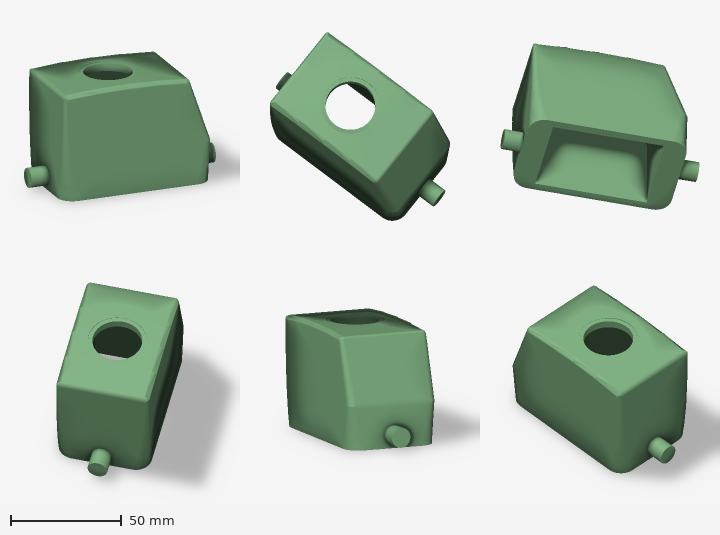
import cadquery as cq

width = 43.0
half_width = width / 2
height = 52.0
front_y = -36.45
front_top_y = -35.9
back_y = 36.5
shoulder_y = 36.2
shoulder_z = 20.2
ridge_y = 25.4
top_end_z = 50.6
side_wall = 3.6
roof_wall = 4.0
cavity_half_length = 25.9
crown_y = (front_top_y + ridge_y) / 2

top_round = 2.1
ridge_round = 1.5
shoulder_round = 8.1
front_corner_radii = [(0, 7.4), (9.5, 4.8), (22.1, 2.8), (31.4, 2.0), (height, 1.6)]
rim_radius = front_corner_radii[0][1]
shoulder_radius = 3.2
ridge_radius = 1.9
cutter_margin = 1.8

entry_y = -5.85
entry_diameter = 22.5
seat_diameter = 26.5
seat_depth = 0.4

pin_diameter = 9.1
pin_z = 6.1
pin_end_y = 45.0
pin_embed = 1.8


def hood_profile():
    """Closed side outline of the hood in the YZ plane."""
    return (
        cq.Workplane("YZ")
        .moveTo(front_y, 0)
        .lineTo(front_top_y, top_end_z)
        .threePointArc((crown_y, height), (ridge_y, top_end_z))
        .lineTo(shoulder_y, shoulder_z)
        .lineTo(back_y, 0)
        .close()
    )


def rounded_block():
    """Solid hood with its top and shoulder edges rounded."""
    block = hood_profile().extrude(half_width, both=True)
    ridge = cq.selectors.NearestToPointSelector((0, ridge_y, top_end_z))
    shoulder = cq.selectors.NearestToPointSelector((0, shoulder_y, shoulder_z))
    block = block.edges(shoulder).fillet(shoulder_round)
    block = block.edges(ridge).fillet(ridge_round)
    return block.faces(">Z").edges("not(>Y)").fillet(top_round)


def corner_section(corner_y, z, radius, y_side):
    """Outline of the material removed outside a rounded +X corner at height z."""
    arc_x = half_width - radius
    arc_y = corner_y - y_side * radius
    diagonal = radius * 0.5 ** 0.5
    outer_x = half_width + cutter_margin
    outer_y = corner_y + y_side * cutter_margin
    corner = cq.Workplane("XY", origin=(0, 0, z))
    return (
        corner.moveTo(half_width, arc_y)
        .threePointArc((arc_x + diagonal, arc_y + y_side * diagonal), (arc_x, corner_y))
        .lineTo(arc_x, outer_y)
        .lineTo(outer_x, outer_y)
        .lineTo(outer_x, arc_y)
        .close()
        .val()
    )


def corner_cutter(stations, y_side, ruled):
    """Loft a corner cutter through (y, z, radius) stations."""
    sections = [corner_section(y, z, radius, y_side) for y, z, radius in stations]
    return cq.Workplane(cq.Solid.makeLoft(sections, ruled))


def round_corners(body):
    """Round the four upright corners with radii that shrink towards the top."""
    front_slope = (front_top_y - front_y) / top_end_z
    front = [(front_y + front_slope * z, z, radius) for z, radius in front_corner_radii]
    back_slope = (ridge_y - shoulder_y) / (top_end_z - shoulder_z)
    back_top_y = shoulder_y + back_slope * (height - shoulder_z)
    back = [
        (back_y, 0, rim_radius),
        (shoulder_y, shoulder_z, shoulder_radius),
        (back_top_y, height, ridge_radius),
    ]
    for cutter in (corner_cutter(front, -1, False), corner_cutter(back, 1, True)):
        body = body.cut(cutter).cut(cutter.mirror("YZ"))
    return body


def cavity():
    """Interior open at the rim, with upright end walls below the sloped back and the roof."""
    inner = hood_profile().offset2D(-roof_wall).extrude(half_width - side_wall, both=True)
    rim_opening = inner.faces("<Z").wires().toPending().workplane().extrude(roof_wall)
    end_limits = cq.Workplane("XY").box(width, 2 * cavity_half_length, 2 * height)
    return inner.union(rim_opening).intersect(end_limits)


def pin(y_side):
    """Round locking pin running outwards from inside an end wall."""
    root_y = abs(front_y) - pin_embed
    return (
        cq.Workplane("XZ", origin=(0, y_side * root_y, pin_z))
        .circle(pin_diameter / 2)
        .extrude(-y_side * (pin_end_y - root_y))
    )


def vertical_cylinder(diameter, bottom_z):
    """Cylinder on the cable entry axis from bottom_z to the crown."""
    entry = cq.Workplane("XY", origin=(0, entry_y, bottom_z))
    return entry.circle(diameter / 2).extrude(height - bottom_z)


result = round_corners(rounded_block()).cut(cavity())
result = result.cut(vertical_cylinder(seat_diameter, height - seat_depth))
result = result.cut(vertical_cylinder(entry_diameter, height - 2 * roof_wall))
for side in (-1, 1):
    result = result.union(pin(side))